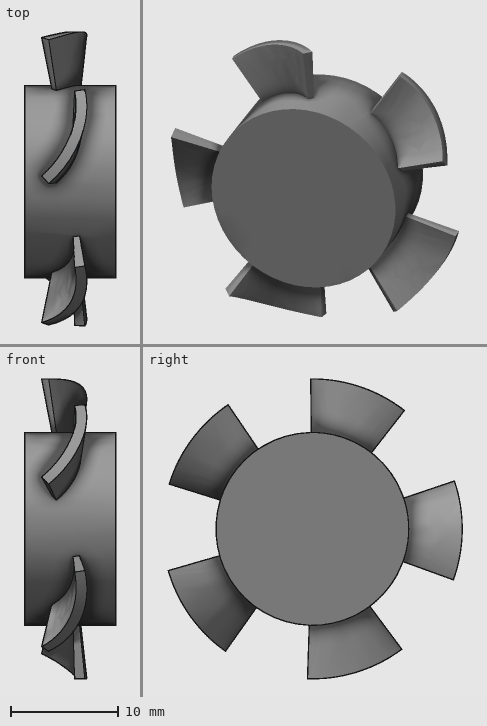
import cadquery as cq
import math

HUB_RADIUS = 9.0
HUB_LENGTH = 8.5

BLADE_COUNT = 5
TIP_RADIUS = 14.0
BLADE_THICKNESS = 1.03
CAMBER_RADIUS = 9.97
CAMBER_CENTER_X = -8.89
CAMBER_CENTER_T = -3.28
CAMBER_START = -9.8
CAMBER_END = 49.8

ROOT_DISTANCE = HUB_RADIUS / 2
TRIM_ALLOWANCE = 1.0
OUTER_DISTANCE = TIP_RADIUS + TRIM_ALLOWANCE


def x_cylinder(radius, length):
    """Cylinder on the X axis, centred on the origin."""
    return cq.Workplane("YZ").circle(radius).extrude(length / 2, both=True)


def blade_section(distance):
    """Closed curved-strip outline at a distance from the axis, scaled about the hub centre."""
    scale = distance / TIP_RADIUS

    def point(radius, angle):
        x = CAMBER_CENTER_X + radius * math.cos(math.radians(angle))
        t = CAMBER_CENTER_T + radius * math.sin(math.radians(angle))
        return (scale * x, scale * t)

    inner = CAMBER_RADIUS - BLADE_THICKNESS / 2
    outer = CAMBER_RADIUS + BLADE_THICKNESS / 2
    middle = (CAMBER_START + CAMBER_END) / 2
    plane = cq.Plane(origin=(0, distance, 0), xDir=(1, 0, 0), normal=(0, -1, 0))
    outline = (
        cq.Workplane(plane)
        .moveTo(*point(inner, CAMBER_START))
        .lineTo(*point(outer, CAMBER_START))
        .threePointArc(point(outer, middle), point(outer, CAMBER_END))
        .lineTo(*point(inner, CAMBER_END))
        .threePointArc(point(inner, middle), point(inner, CAMBER_START))
        .close()
    )
    return outline.val()


def make_blade():
    """One blade pointing along +Y, with its tip on the tip cylinder."""
    sections = [blade_section(ROOT_DISTANCE), blade_section(OUTER_DISTANCE)]
    blank = cq.Workplane(cq.Solid.makeLoft(sections, True))
    return blank.intersect(x_cylinder(TIP_RADIUS, HUB_LENGTH))


result = x_cylinder(HUB_RADIUS, HUB_LENGTH)
blade = make_blade()
for index in range(BLADE_COUNT):
    blade_angle = index * 360 / BLADE_COUNT
    result = result.union(blade.rotate((0, 0, 0), (1, 0, 0), blade_angle))